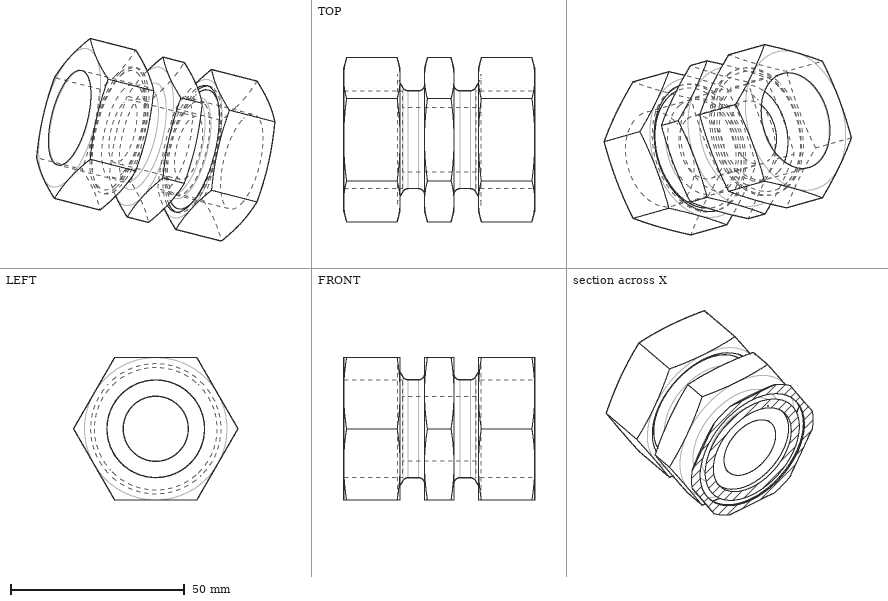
import cadquery as cq
import math

total_length = 55.0
across_flats = 41.0
nut_length = 16.25
collar_length = 8.5

bevel_angle = math.radians(15)

neck_radius = 14.11
groove_fillet_radius = 1.7
neck_run = 3.0
cone_angle = math.radians(60)

passage_diameter = 18.67
socket_diameter = 28.0
socket_mouth_diameter = 28.11
socket_depth = 17.0
lead_in_length = 0.25

recess_diameter = 37.5
recess_depth = 0.78

shoulder_diameter = 35.3

half_length = total_length / 2
half_collar = collar_length / 2
nut_inner_face = half_length - nut_length
recess_floor = nut_inner_face + recess_depth
across_corners = across_flats / math.cos(math.radians(30))
flat_radius = across_flats / 2
corner_radius = across_corners / 2
nut_curve_run = groove_fillet_radius * math.sin(cone_angle)
bevel_run = (corner_radius - flat_radius) * math.tan(bevel_angle)


def revolve_about_x(profile):
    """Turn a closed XY profile, with Y as radius, about the X axis."""
    return profile.close().revolve(360, (0, 0, 0), (1, 0, 0))


def beveled_hexagon(start, length):
    """Hexagonal prism along X with its corners beveled at both ends."""
    end = start + length
    prism = (
        cq.Workplane("YZ")
        .workplane(offset=start)
        .polygon(6, across_corners)
        .extrude(length)
    )
    envelope = revolve_about_x(
        cq.Workplane("XY")
        .moveTo(start, 0)
        .lineTo(start, flat_radius)
        .lineTo(start + bevel_run, corner_radius)
        .lineTo(end - bevel_run, corner_radius)
        .lineTo(end, flat_radius)
        .lineTo(end, 0)
    )
    return prism.intersect(envelope)


def neck():
    """Round neck filling the gap from the collar to the nut on the +X side."""
    collar_curve_end = half_collar + groove_fillet_radius
    nut_curve_start = collar_curve_end + neck_run
    nut_curve_end = nut_curve_start + nut_curve_run
    cone_start_radius = neck_radius + groove_fillet_radius * (1 - math.cos(cone_angle))
    shoulder_radius = shoulder_diameter / 2
    shoulder_start = nut_curve_end + (shoulder_radius - cone_start_radius) / math.tan(cone_angle)

    return revolve_about_x(
        cq.Workplane("XY")
        .moveTo(half_collar, 0)
        .lineTo(half_collar, neck_radius + groove_fillet_radius)
        .radiusArc((collar_curve_end, neck_radius), -groove_fillet_radius)
        .lineTo(nut_curve_start, neck_radius)
        .radiusArc((nut_curve_end, cone_start_radius), -groove_fillet_radius)
        .lineTo(shoulder_start, shoulder_radius)
        .lineTo(recess_floor, shoulder_radius)
        .lineTo(recess_floor, 0)
    )


def nut():
    """Hexagon nut at the +X end with a shallow recess in its inner face."""
    recess = (
        cq.Workplane("YZ")
        .workplane(offset=nut_inner_face)
        .circle(recess_diameter / 2)
        .extrude(recess_depth)
    )
    return beveled_hexagon(nut_inner_face, nut_length).cut(recess)


def socket():
    """Socket cut into the +X end, with a short conical lead-in at its mouth."""
    floor = half_length - socket_depth
    return revolve_about_x(
        cq.Workplane("XY")
        .moveTo(floor, 0)
        .lineTo(floor, socket_diameter / 2)
        .lineTo(half_length - lead_in_length, socket_diameter / 2)
        .lineTo(half_length, socket_mouth_diameter / 2)
        .lineTo(half_length, 0)
    )


def both_ends(half):
    """Pair a +X shape with its mirror image on the -X side."""
    return half.union(half.mirror("YZ"))


passage = cq.Workplane("YZ").circle(passage_diameter / 2).extrude(half_length, both=True)

collar = beveled_hexagon(-half_collar, collar_length)
body = collar.union(both_ends(nut().union(neck())))

result = body.cut(passage).cut(both_ends(socket()))